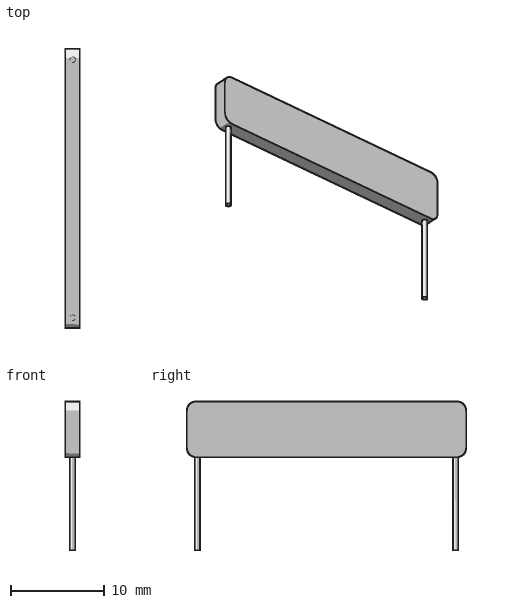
import cadquery as cq

body_thickness = 1.6
body_length = 30.0
body_height = 6.0
corner_radius = 1.0

lead_diameter = 0.6
lead_length = 10.0
lead_pitch = 27.7
lead_embed = body_height / 2


def make_body():
    """Plate with its four corners rounded about the X axis."""
    plate = cq.Workplane("XY").box(
        body_thickness, body_length, body_height, centered=(True, True, False)
    )
    return plate.edges("|X").fillet(corner_radius)


def make_lead(y_position):
    """Straight round lead running from inside the body down to its free end."""
    return (
        cq.Workplane("XY", origin=(0, y_position, -lead_length))
        .circle(lead_diameter / 2)
        .extrude(lead_length + lead_embed)
    )


result = make_body()
for side in (-1, 1):
    result = result.union(make_lead(side * lead_pitch / 2))